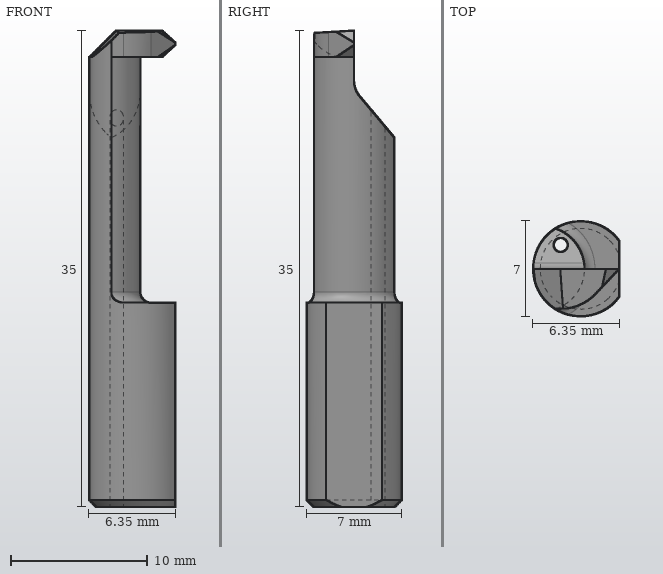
import cadquery as cq
import math

total_height = 35.0
shank_radius = 3.5
shank_flat_x = 2.85
shoulder_z = 15.0
base_chamfer = 0.52

neck_axis_x = -2.85
neck_radius = 3.1
neck_fillet = 0.77

head_bottom_z = 33.05
head_straight_x = 1.85
tip_land = 0.18
nose_chamfer_x = -1.5
top_relief = 0.5
tip_relief = 1.8
nose_relief = 0.6
relief_depth = 8.5
head_front_left = (-0.98, -2.9)
head_arc_middle = (0.15, -2.55)
head_front_right = (1.05, -1.9)

clearance_angle = 50.0
clearance_fillet = 1.75
clearance_top_z = 30.65

coolant_diameter = 1.0
coolant_x = -1.47
coolant_y = 1.75


def make_bar():
    """Full-height bar with the side flat and the chamfered base."""
    bar = cq.Workplane("XY").circle(shank_radius).extrude(total_height)
    bar = bar.faces("<Z").chamfer(base_chamfer)
    limit = cq.Workplane("XY").box(
        2 * shank_radius, 2 * shank_radius, total_height, centered=(False, True, False)
    ).translate((shank_flat_x - 2 * shank_radius, 0, 0))
    return bar.intersect(limit)


def make_neck(bar):
    """Off-centre neck with its fillet onto the shoulder."""
    fillet_diagonal = neck_fillet * (1 - math.sqrt(0.5))
    section = (
        cq.Workplane("XZ", origin=(neck_axis_x, 0, 0))
        .moveTo(0, shoulder_z)
        .lineTo(neck_radius + neck_fillet, shoulder_z)
        .threePointArc(
            (neck_radius + fillet_diagonal, shoulder_z + fillet_diagonal),
            (neck_radius, shoulder_z + neck_fillet),
        )
        .lineTo(neck_radius, head_bottom_z)
        .lineTo(0, head_bottom_z)
        .close()
    )
    return section.revolve(360, (0, 0, 0), (0, 1, 0)).intersect(bar)


def head_profile(relief_share):
    """XZ corners of the head, moved inward by a share of the full relief."""
    top = total_height - top_relief * relief_share
    middle = (total_height + head_bottom_z) / 2
    half_land = tip_land / 2
    flank_run = shank_flat_x - head_straight_x
    land_x = shank_flat_x - tip_relief * relief_share
    nose_top_x = nose_chamfer_x + nose_relief * relief_share
    nose_run = top - head_bottom_z
    return [
        (nose_top_x, top),
        (land_x - flank_run, top),
        (land_x, middle + half_land),
        (land_x, middle - half_land),
        (land_x - flank_run, head_bottom_z),
        (nose_top_x - nose_run, head_bottom_z),
    ]


def make_head(bar):
    """Pointed head: plan outline trimmed by the relieved profile."""
    head_height = total_height - head_bottom_z
    corner_x = (shank_radius**2 + neck_axis_x**2 - neck_radius**2) / (2 * neck_axis_x)
    corner_y = -math.sqrt(shank_radius**2 - corner_x**2)
    plan = (
        cq.Workplane("XY", origin=(0, 0, head_bottom_z))
        .moveTo(-shank_radius, 0)
        .lineTo(-shank_radius, corner_y)
        .lineTo(corner_x, corner_y)
        .lineTo(*head_front_left)
        .threePointArc(head_arc_middle, head_front_right)
        .lineTo(shank_flat_x, 0)
        .close()
        .extrude(head_height)
    )
    return plan.intersect(bar).intersect(make_relief())


def make_relief():
    """Head profile narrowing evenly from the rake face at y = 0 to the front."""
    depth = shank_radius
    return (
        cq.Workplane("XZ")
        .polyline(head_profile(0))
        .close()
        .workplane(offset=depth)
        .polyline(head_profile(depth / relief_depth))
        .close()
        .loft(ruled=True)
    )


def make_chip_clearance():
    """Cut behind the rake face: a slope blending into the plane y = 0."""
    reach = 2 * shank_radius
    drop = reach * math.tan(math.radians(clearance_angle))
    cutter = (
        cq.Workplane("YZ", origin=(-reach, 0, 0))
        .moveTo(0, total_height)
        .lineTo(0, clearance_top_z)
        .lineTo(reach, clearance_top_z - drop)
        .lineTo(reach, total_height)
        .close()
        .extrude(2 * reach)
    )
    corner = cq.selectors.NearestToPointSelector((0, 0, clearance_top_z))
    return cutter.edges("|X").edges(corner).fillet(clearance_fillet)


bar = make_bar()
above_shoulder = cq.Workplane("XY", origin=(0, 0, shoulder_z)).rect(
    4 * shank_radius, 4 * shank_radius
).extrude(total_height)
coolant_hole = (
    cq.Workplane("XY")
    .center(coolant_x, coolant_y)
    .circle(coolant_diameter / 2)
    .extrude(total_height)
)

result = bar.cut(above_shoulder).union(make_neck(bar))
result = result.cut(make_chip_clearance()).union(make_head(bar))
result = result.cut(coolant_hole)